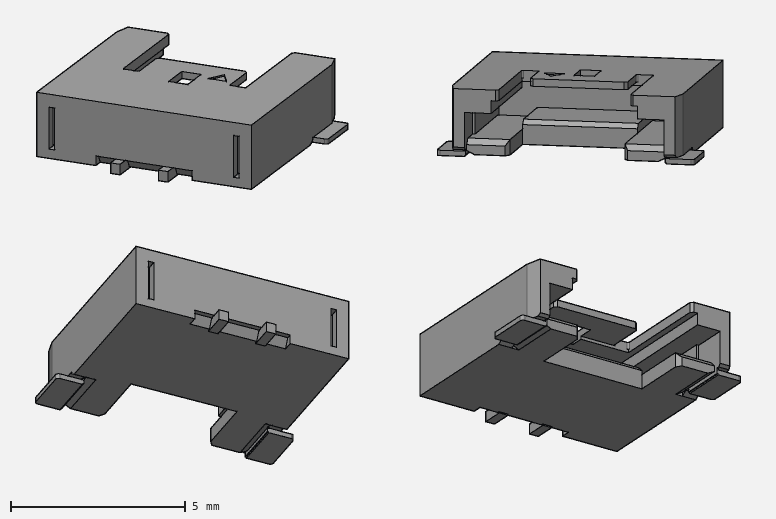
import cadquery as cq
top = 2.0
bottom = 0.04
half_width = 3.38
depth = 6.11
arm_inner = 1.93
arm_chamfer = 0.08
taper_width = 0.13
taper_length = 0.5

notch_end = 2.815
tongue_half = 1.43
tongue_end = 4.09
tongue_chamfer = 0.09
notch_fillet = 0.045

socket_front = 1.81
socket_half = 2.92
upper_socket_half = 2.145
shoulder = 1.31
plate = 0.32
plate_bottom = top - plate
tongue_thickness = 0.22

floor_top = 0.755
floor_arm_top = 0.49
floor_arm_inner = 1.68
floor_arm_end = 5.81
floor_end = 3.895
lead_in = 0.135
tip_length = 0.165
tip_width = 0.11

window_half = 0.3
window_front = 2.39
window_rear = 3.315
arrow_center = 0.92
arrow_half = 0.295
arrow_base = 3.08
arrow_length = 0.49
arrow_depth = 0.045

contact_pitch = 1.5
contact_width = 0.3
contact_height = 0.325
contact_reach = 0.33
contact_tail = 0.38

recess_half = 1.52
recess_height = 0.295
recess_ceiling = 0.16
recess_slope = 0.15

nail_center = 2.91
slot_width = 0.17
slot_bottom = 0.325
slot_top = 1.6
nail_width = 0.11
nail_inset = 0.05
nail_setback = 0.23
nail_end = 4.98
pad_outer = 3.775
pad_inner = 2.92
pad_front = 4.455
pad_rear = 5.95
pad_thickness = 0.16
pad_bend = 0.08
pad_corner = 0.1

relief_start = 4.13
relief_full = 4.3
relief_top = 0.21
relief_step = 0.16
underside_bevel = 0.23


def box(x0, x1, y0, y1, z0, z1):
    return cq.Workplane("XY").box(x1 - x0, y1 - y0, z1 - z0, centered=False).translate((x0, y0, z0))


def prism(points, z0, z1):
    return cq.Workplane("XY").workplane(offset=z0).polyline(points).close().extrude(z1 - z0)


def side_prism(points, x0, x1):
    """Extrude a (Y, Z) outline along X."""
    return cq.Workplane("YZ").workplane(offset=x0).polyline(points).close().extrude(x1 - x0)


def both_sides(shape):
    """Join a right-hand shape with its mirror image."""
    return shape.union(shape.mirror("YZ"))


def plan_half(points):
    """Close a right-hand (X, Y) outline by its mirror image."""
    return points + [(-x, y) for x, y in reversed(points)]


def make_housing():
    outline = plan_half([
        (half_width, 0),
        (half_width, depth - taper_length),
        (half_width - taper_width, depth),
        (arm_inner + arm_chamfer, depth),
        (arm_inner, depth - arm_chamfer),
        (arm_inner, notch_end),
        (tongue_half, notch_end),
        (tongue_half, tongue_end - tongue_chamfer),
        (tongue_half - tongue_chamfer, tongue_end),
    ])
    margin = notch_fillet
    corners = cq.selectors.BoxSelector(
        (-arm_inner - margin, notch_end - margin, bottom),
        (arm_inner + margin, notch_end + margin, top))
    body = prism(outline, bottom, top).edges("|Z").edges(corners).fillet(notch_fillet)
    socket = box(-socket_half, socket_half, socket_front, depth, bottom, shoulder)
    socket = socket.union(
        box(-upper_socket_half, upper_socket_half, socket_front, depth, bottom, plate_bottom))
    socket = socket.union(
        box(-arm_inner, arm_inner, notch_end, depth, bottom, top - tongue_thickness))
    return body.cut(socket)


def bevel(end, length, height, x0, x1):
    """Lead-in wedge removed from the rear top edge of a floor."""
    return side_prism([(end - length, height), (end, height), (end, height - length)], x0, x1)


def make_floor():
    middle = box(-floor_arm_inner, floor_arm_inner, socket_front, floor_end, bottom, floor_top)
    middle = middle.cut(bevel(floor_end, lead_in, floor_top, -floor_arm_inner, floor_arm_inner))
    arm = prism([
        (socket_half, socket_front),
        (socket_half, floor_arm_end),
        (floor_arm_inner + tip_width, floor_arm_end),
        (floor_arm_inner, floor_arm_end - tip_length),
        (floor_arm_inner, socket_front),
    ], bottom, floor_arm_top)
    arm = arm.cut(bevel(floor_arm_end, tip_length, floor_arm_top, floor_arm_inner, socket_half))
    return middle.union(both_sides(arm))


def make_top_cuts():
    window = box(-window_half, window_half, window_front, window_rear, plate_bottom, top)
    arrow = prism([
        (arrow_center - arrow_half, arrow_base),
        (arrow_center + arrow_half, arrow_base),
        (arrow_center, arrow_base + arrow_length),
    ], top - arrow_depth, top)
    return window.union(arrow)


def make_front_recess():
    """Notch under the front wall with a sloping back."""
    return side_prism([
        (0, bottom),
        (0, bottom + recess_height),
        (recess_ceiling, bottom + recess_height),
        (recess_ceiling + recess_slope, bottom),
    ], -recess_half, recess_half)


def make_arm_relief():
    """Raise the underside of each arm wall and bevel the floor edge beside it."""
    wall = side_prism([
        (relief_start, bottom),
        (relief_full, relief_step),
        (relief_full, relief_top),
        (depth - arm_chamfer, relief_top),
        (depth, relief_top + arm_chamfer),
        (depth, bottom),
    ], socket_half, half_width)
    inner_bevel = cq.Workplane("XZ").workplane(offset=-depth).polyline([
        (socket_half, bottom),
        (socket_half, relief_step),
        (socket_half - underside_bevel, bottom),
    ]).close().extrude(depth - relief_start)
    return both_sides(wall.union(inner_bevel))


def make_slots():
    return both_sides(box(
        nail_center - slot_width / 2, nail_center + slot_width / 2,
        0, socket_front,
        slot_bottom, slot_top))


def make_nails():
    """Upright plates along the arms, each with a solder pad bent outward."""
    inner = nail_center - nail_width / 2
    outer = nail_center + nail_width / 2
    nail_top = slot_top - nail_inset
    blade = box(inner, outer, nail_setback, nail_end, slot_bottom + nail_inset, nail_top)
    leg = box(pad_inner, outer, pad_front, pad_rear, bottom, nail_top)
    pad = box(pad_inner, pad_outer, pad_front, pad_rear, 0, pad_thickness)
    pad = pad.edges("|Z and >X").fillet(pad_corner)
    pad = pad.edges("<X and <Z").chamfer(bottom, pad_bend)
    return both_sides(blade.union(leg).union(pad))


def make_contacts():
    contact = box(-contact_width / 2, contact_width / 2, -contact_reach, contact_tail, 0, contact_height)
    return both_sides(contact.translate((contact_pitch / 2, 0, 0)))


result = make_housing().union(make_floor())
for cut in (make_top_cuts(), make_front_recess(), make_arm_relief(), make_slots()):
    result = result.cut(cut)
result = result.union(make_nails()).union(make_contacts())